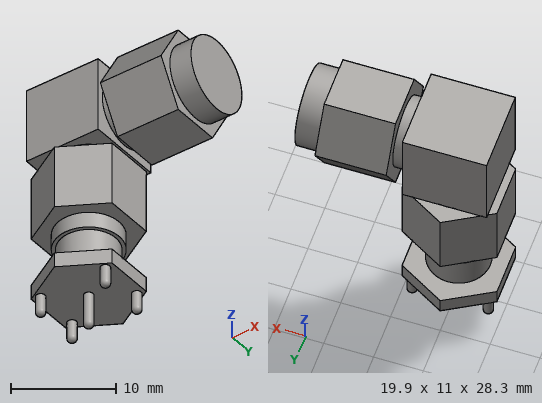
import cadquery as cq
import math


total_height = 28.3
total_length = 19.85
hex_across_corners = 11.0
cube_side = 8.46
neck_diameter = 7.13
nut_length = 7.15
neck_drop = 1.75
neck_gap_vertical = 1.02
neck_gap_horizontal = 1.2
sleeve_diameter = 8.18
barrel_diameter = 6.35
flange_bottom = 3.9
flange_thickness = 1.67
pin_diameter = 1.02
pin_tip_radius = 0.48
leg_length = 2.32
leg_x = 3.82
leg_y = 2.52

hex_across_flats = hex_across_corners * math.cos(math.pi / 6)
axis_height = total_height - hex_across_flats / 2
cube_bottom = axis_height - cube_side / 2
upper_nut_face = cube_bottom - neck_gap_vertical
lower_nut_face = upper_nut_face - nut_length
neck_bottom = lower_nut_face - neck_drop
inner_nut_face = cube_side / 2 + neck_gap_horizontal
outer_nut_face = inner_nut_face + nut_length
sleeve_end = total_length - hex_across_flats / 2
flange_top = flange_bottom + flange_thickness


def vertical_plane(z):
    """Plane facing up at height z, with its local x along Y."""
    return cq.Plane(origin=(0, 0, z), xDir=(0, 1, 0), normal=(0, 0, 1))


def horizontal_plane(x):
    """Plane facing +X on the horizontal axis, with its local x along Y."""
    return cq.Plane(origin=(x, 0, axis_height), xDir=(0, 1, 0), normal=(1, 0, 0))


def cylinder(plane, diameter, length):
    return cq.Workplane(plane).circle(diameter / 2).extrude(length)


def hex_prism(plane, length):
    """Hexagonal prism with two corners along Y."""
    return cq.Workplane(plane).polygon(6, hex_across_corners).extrude(length)


def make_elbow():
    """Cube with a round neck reaching down and another reaching along +X."""
    cube = cq.Workplane("XY", origin=(0, 0, axis_height)).box(cube_side, cube_side, cube_side)
    lower_neck = cylinder(vertical_plane(neck_bottom), neck_diameter, axis_height - neck_bottom)
    side_neck = cylinder(horizontal_plane(0), neck_diameter, outer_nut_face)
    return cube.union(lower_neck).union(side_neck)


def make_nut(plane):
    """Hexagonal nut bored to fit around a neck."""
    return hex_prism(plane, nut_length).cut(cylinder(plane, neck_diameter, nut_length))


def make_sleeve():
    """Round end piece against the outer face of the horizontal nut."""
    return cylinder(horizontal_plane(outer_nut_face), sleeve_diameter, sleeve_end - outer_nut_face)


def make_pin(x, y, length):
    """Round-tipped pin hanging from the underside of the flange."""
    plane = cq.Plane(origin=(x, y, flange_bottom - length))
    return cylinder(plane, pin_diameter, length).faces("<Z").edges().fillet(pin_tip_radius)


def make_jack():
    """Hexagonal flange with a round barrel above and four legs below."""
    jack = hex_prism(vertical_plane(flange_bottom), flange_thickness)
    jack = jack.union(cylinder(vertical_plane(flange_top), barrel_diameter, neck_bottom - flange_top))
    for x in (-leg_x, leg_x):
        for y in (-leg_y, leg_y):
            jack = jack.union(make_pin(x, y, leg_length))
    return jack


elbow = make_elbow()
nuts = [make_nut(plane) for plane in (vertical_plane(lower_nut_face), horizontal_plane(inner_nut_face))]
sleeve = make_sleeve()
jack = make_jack()
centre_pin = make_pin(0, 0, flange_bottom)

result = cq.Compound.makeCompound(
    [elbow.val(), *[nut.val() for nut in nuts], sleeve.val(), jack.val(), centre_pin.val()]
)